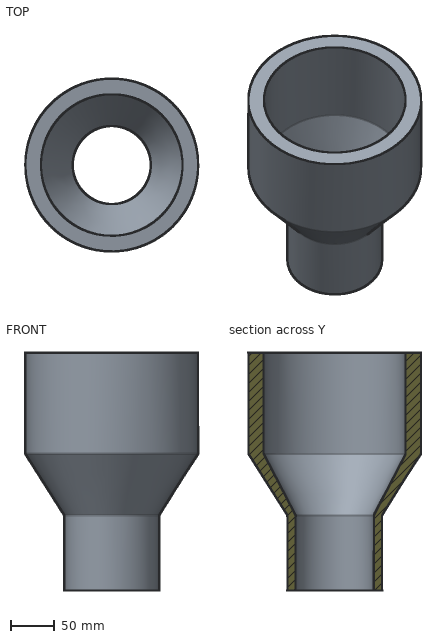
import cadquery as cq

large_diameter = 200.0
large_wall = 18.2
small_diameter = 110.0
small_wall = 10.0

total_height = 275.0
spigot_length = 87.0
socket_length = 117.0
blend_radius = 2.5

large_radius = large_diameter / 2
small_radius = small_diameter / 2
large_bore_radius = large_radius - large_wall
small_bore_radius = small_radius - small_wall
cone_bottom = spigot_length
cone_top = total_height - socket_length


def reducer_body(lower_radius, upper_radius):
    """Solid cylinder, cone and cylinder on the Z axis, with both ends of the cone rounded."""
    body = (
        cq.Workplane("XZ")
        .moveTo(0, 0)
        .lineTo(-lower_radius, 0)
        .lineTo(-lower_radius, cone_bottom)
        .lineTo(-upper_radius, cone_top)
        .lineTo(-upper_radius, total_height)
        .lineTo(0, total_height)
        .close()
        .revolve(360, (0, 0, 0), (0, 1, 0))
    )
    return body.faces("%CONE").edges("%CIRCLE").fillet(blend_radius)


outside = reducer_body(small_radius, large_radius)
bore = reducer_body(small_bore_radius, large_bore_radius)
result = outside.cut(bore)